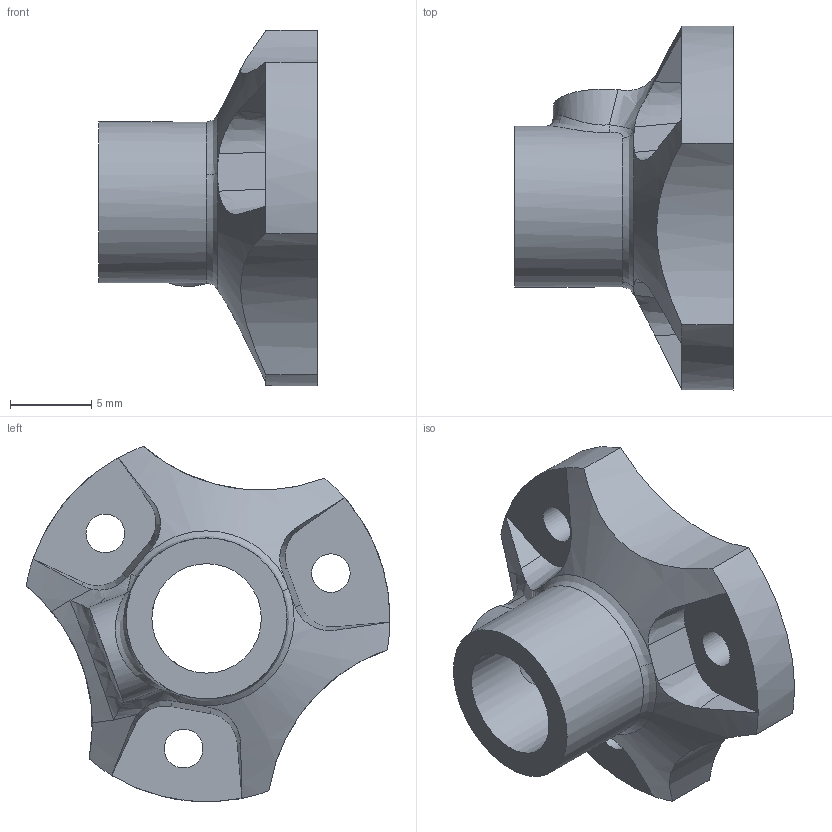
import cadquery as cq
import math

total_length = 13.49
flange_thickness = 3.18
flange_front = total_length - flange_thickness

barrel_radius = 9.92 / 2
bore_radius = 6.75 / 2
flange_radius = 11.305
cone_slope = 0.5
barrel_fillet = 0.79

arm_count = 3
arm_pitch = 360 / arm_count
boss_angle = -20
scallop_reach = 8.2
scallop_radius = 11.0

seat_reach = 5.73
seat_half_width = 2.79
seat_flare = 15
seat_corner_radius = 2.05
seat_draft = 7
seat_depth = 3.2
screw_hole_diameter = 2.38
screw_hole_reach = 8.15

boss_station = 5.5
boss_radius = 3.13
boss_reach = 6.57
boss_cone_fillet = 1.6
set_screw_diameter = 2.85

blend_extent = 2 * flange_radius
face_block_width = 4 * boss_radius
seam_turn = 180
tolerance = 0.01


def cone_station(radius):
    """Axial station at which the cone has the given radius."""
    return flange_front - (flange_radius - radius) * cone_slope


def turn(solid, angle):
    """Swing a solid about the main axis, from +Y toward +Z."""
    return solid.rotate((0, 0, 0), (1, 0, 0), angle)


def fillet_where(solid, test, radius):
    """Fillet those edges of a solid that pass the test."""
    edges = [edge for edge in solid.edges().vals() if test(edge)]
    return solid.newObject(edges).fillet(radius)


def make_oversized_body():
    """Barrel and a cone that runs on past the rim, the seam kept away from the boss."""
    body = (
        cq.Workplane("XY")
        .lineTo(0, barrel_radius)
        .lineTo(cone_station(barrel_radius), barrel_radius)
        .lineTo(cone_station(blend_extent), blend_extent)
        .lineTo(cone_station(blend_extent), 0)
        .close()
        .revolve(360, (0, 0, 0), (1, 0, 0))
    )
    return turn(body, seam_turn)


def radial_cylinder(radius, reach):
    """Cylinder standing on the main axis along +Y, its seam facing the open end."""
    cylinder = cq.Workplane("XZ").center(boss_station, 0).circle(radius).extrude(-reach)
    return cylinder.rotate((boss_station, 0, 0), (boss_station, 1, 0), seam_turn)


def blend_boss_side():
    """Body with an overlong boss, the boss wall filleted into the cone."""
    joined = make_oversized_body().union(radial_cylinder(boss_radius, blend_extent))

    def joins_boss_to_cone(edge):
        starts_on_cone = edge.BoundingBox().xmin > cone_station(barrel_radius) - tolerance
        return edge.geomType() == "BSPLINE" and starts_on_cone

    return fillet_where(joined, joins_boss_to_cone, boss_cone_fillet)


def blend_boss_face():
    """Body with a block as high as the boss, the block top filleted into the cone."""
    block = cq.Workplane("XY").box(
        flange_front, boss_reach, face_block_width, centered=(False, False, True)
    )
    joined = make_oversized_body().union(block)
    return fillet_where(joined, lambda edge: edge.geomType() == "HYPERBOLA", boss_cone_fillet)


def lies_on_barrel_joint(edge):
    """True for the edges where the barrel wall meets the cone or the boss."""
    if edge.geomType() == "LINE" or edge.Center().x < tolerance:
        return False
    points = [edge.positionAt(fraction) for fraction in (0.1, 0.5, 0.9)]
    return all(abs(math.hypot(point.y, point.z) - barrel_radius) < tolerance for point in points)


def make_blank():
    """Body with its boss: the two blends overlap in mitred fillets, trimmed to the rim."""
    envelope = cq.Workplane("YZ").circle(flange_radius).extrude(total_length)
    mitred = blend_boss_side().intersect(blend_boss_face())
    trimmed = mitred.intersect(turn(envelope, seam_turn))
    return fillet_where(trimmed, lies_on_barrel_joint, barrel_fillet)


def make_bore():
    return cq.Workplane("YZ").circle(bore_radius).extrude(total_length)


def make_scallop():
    """Cylinder that hollows the rim on the +Y side."""
    return (
        cq.Workplane("YZ")
        .center(scallop_reach + scallop_radius, 0)
        .circle(scallop_radius)
        .extrude(total_length)
    )


def make_seat():
    """Drafted pocket on the +Y side, flaring outward, with its floor level with the rim."""
    outer_reach = flange_radius + seat_corner_radius
    flare = math.tan(math.radians(seat_flare))
    outer_half_width = seat_half_width + (outer_reach - seat_reach) * flare
    outline = (
        cq.Sketch()
        .polygon([
            (seat_reach, -seat_half_width),
            (outer_reach, -outer_half_width),
            (outer_reach, outer_half_width),
            (seat_reach, seat_half_width),
            (seat_reach, -seat_half_width),
        ])
        .vertices("<X")
        .fillet(seat_corner_radius)
    )
    return (
        cq.Workplane("YZ", origin=(flange_front, 0, 0))
        .placeSketch(outline)
        .extrude(-seat_depth, taper=-seat_draft)
    )


def make_screw_hole():
    return (
        cq.Workplane("YZ")
        .center(screw_hole_reach, 0)
        .circle(screw_hole_diameter / 2)
        .extrude(total_length)
    )


part = make_blank()
part = part.cut(make_bore())
part = part.cut(radial_cylinder(set_screw_diameter / 2, blend_extent))
for index in range(arm_count):
    scallop_angle = index * arm_pitch
    arm_angle = scallop_angle + arm_pitch / 2
    part = part.cut(turn(make_scallop(), scallop_angle))
    part = part.cut(turn(make_seat(), arm_angle))
    part = part.cut(turn(make_screw_hole(), arm_angle))

result = turn(part, boss_angle)